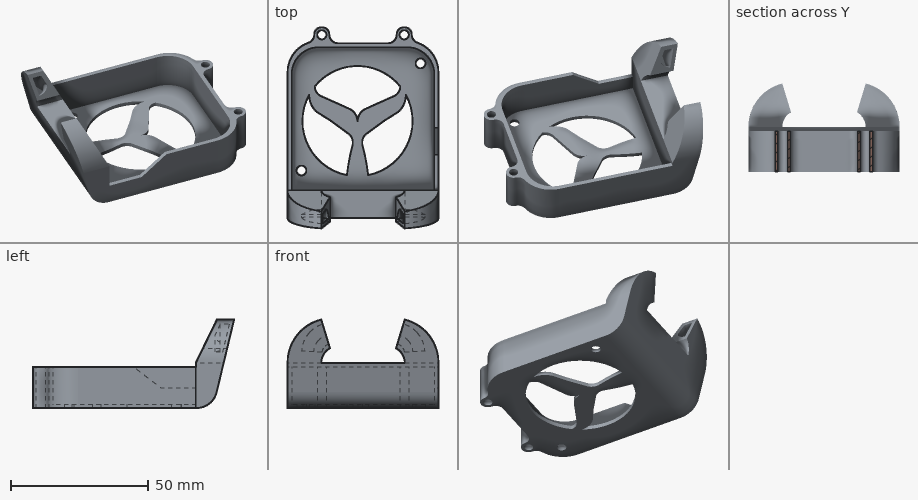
import cadquery as cq
import math

width = 55.0
half_width = width / 2

wall = 1.5
tray_length = 53.5
tray_height = 15.0
floor_thickness = 1.5
inner_corner_radius = 10.0
outer_corner_radius = inner_corner_radius + wall

ear_x = 15.0
ear_radius = 2.8
ear_hole_diameter = 3.3
ear_blend_radius = 3.0
ear_y = tray_length + ear_blend_radius
ear_blend_x = ear_x + ear_radius + ear_blend_radius

corner_x = half_width - outer_corner_radius
corner_y = ear_y - math.sqrt((outer_corner_radius + ear_blend_radius) ** 2 - (ear_blend_x - corner_x) ** 2)
blend_touch_angle = math.atan2(corner_y - ear_y, corner_x - ear_blend_x)

wall_cut_floor_z = 7.5
wall_cut_slope_start_y = 12.8
wall_cut_slope_end_y = 22.6

fan_x = -2.0
fan_y = 25.1
fan_radius = 20.0
screw_hole_diameter = 3.5
screw_hole_points = [(20.95, 46.1), (-22.4, 7.1)]

clip_height = 32.28
shelf_z = 16.5
shelf_depth = 10.2
tip_depth = 13.99
tip_back_depth = 7.7
bottom_round_radius = 7.6
prong_outer_radius = 16.26
prong_tip_x = 15.16
prong_nose_x = 12.0
prong_nose_z = 21.8
mouth_arc_radius = 6.15

hollow_sweep = 70.0
hollow_axis_distance = 12.5
hollow_front_inset = 1.45
hollow_top = 1.65
hollow_bottom = 9.2
hollow_top_back_y = -8.8
hollow_bottom_y = -10.3
hollow_back_corner = (-6.9, 6.0)
hollow_arc_middle = (-8.4, 8.4)


def mirrored(point):
    """The same point on the other side of X = 0."""
    return (-point[0], point[1])


def on_fan_rim(x, side):
    """Point of the fan circle at the given x, on its upper (+1) or lower (-1) half."""
    return (x, side * math.sqrt(fan_radius ** 2 - x ** 2))


def ear_blend_point(angle):
    """Point of the +X ear's outside blend at the given angle in radians."""
    return (
        ear_blend_x + ear_blend_radius * math.cos(angle),
        ear_y + ear_blend_radius * math.sin(angle),
    )


def make_tray_block():
    """Outer block of the tray; each corner round runs up to the blend of its ear."""
    touch_point = ear_blend_point(blend_touch_angle)
    diagonal = outer_corner_radius * math.sqrt(0.5)
    middle = (corner_x + diagonal, corner_y + diagonal)
    return (
        cq.Workplane("XY")
        .moveTo(-half_width, 0)
        .lineTo(half_width, 0)
        .lineTo(half_width, corner_y)
        .threePointArc(middle, touch_point)
        .lineTo(ear_x, tray_length)
        .lineTo(-ear_x, tray_length)
        .lineTo(*mirrored(touch_point))
        .threePointArc(mirrored(middle), (-half_width, corner_y))
        .close()
        .extrude(tray_height)
    )


def make_tray_cavity():
    """Space inside the tray, open at the top and towards the clip."""
    cavity_width = width - 2 * wall
    cavity_length = tray_length - wall
    cavity_height = tray_height - floor_thickness
    return (
        cq.Workplane("XY", origin=(0, 0, floor_thickness))
        .box(cavity_width, cavity_length, cavity_height, centered=(True, False, False))
        .edges("|Z and >Y")
        .fillet(inner_corner_radius)
    )


def make_ear():
    """Round ear at +X, blended into the back wall on one side and the corner round on the other."""
    left = ear_x - ear_radius
    right = ear_x + ear_radius
    diagonal = math.sqrt(0.5)

    blend_middle = ear_blend_point((blend_touch_angle - math.pi) / 2)
    touch_point = ear_blend_point(blend_touch_angle)

    wall_middle_y = tray_length - wall / 2
    inner_middle = (
        left - ear_blend_radius * (1 - diagonal),
        ear_y - ear_blend_radius * diagonal,
    )
    return (
        cq.Workplane("XY")
        .moveTo(left - ear_blend_radius, wall_middle_y)
        .lineTo(left - ear_blend_radius, tray_length)
        .threePointArc(inner_middle, (left, ear_y))
        .threePointArc((ear_x, ear_y + ear_radius), (right, ear_y))
        .threePointArc(blend_middle, touch_point)
        .lineTo(ear_x, wall_middle_y)
        .close()
        .extrude(tray_height)
    )


def make_upper_fan_opening():
    """Opening above the two raised blades."""
    rim = on_fan_rim(15.5, 1)
    bend = (15.05, 10.75)
    blade_outer = (13.2, 9.1)
    blade_inner = (3.13, 4.58)
    hub_bend = (0.8, 2.6)
    return (
        cq.Workplane("XY")
        .moveTo(0, 0)
        .threePointArc(hub_bend, blade_inner)
        .lineTo(*blade_outer)
        .threePointArc(bend, rim)
        .threePointArc((0, fan_radius), mirrored(rim))
        .threePointArc(mirrored(bend), mirrored(blade_outer))
        .lineTo(*mirrored(blade_inner))
        .threePointArc(mirrored(hub_bend), (0, 0))
        .close()
        .extrude(floor_thickness)
    )


def make_side_fan_opening():
    """Opening between the raised blade at +X and the lower blade."""
    rim_top = on_fan_rim(17.6, 1)
    rim_bottom = on_fan_rim(3.9, -1)
    rim_middle = on_fan_rim(0.9 * fan_radius, -1)
    blade_outer = (14.63, 3.17)
    blade_middle = (9.8, 0.14)
    blade_inner = (2.93, -4.9)
    hub_end = (1.95, -9.2)
    return (
        cq.Workplane("XY")
        .moveTo(*rim_top)
        .threePointArc((17.0, 6.3), blade_outer)
        .lineTo(*blade_middle)
        .lineTo(*blade_inner)
        .threePointArc((1.85, -6.9), hub_end)
        .threePointArc((3.1, -14.3), rim_bottom)
        .threePointArc(rim_middle, rim_top)
        .close()
        .extrude(floor_thickness)
    )


def make_wall_cut():
    """Cut through the +X wall: flat next to the clip, then a slope up to the rim."""
    return (
        cq.Workplane("YZ", origin=(half_width - wall, 0, 0))
        .polyline([
            (0, wall_cut_floor_z),
            (wall_cut_slope_start_y, wall_cut_floor_z),
            (wall_cut_slope_end_y, tray_height),
            (0, tray_height),
        ])
        .close()
        .extrude(wall)
    )


def make_tray():
    tray = make_tray_block()
    ear = make_ear()
    tray = tray.union(ear).union(ear.mirror("YZ"))
    tray = tray.cut(make_tray_cavity())

    ear_holes = (
        cq.Workplane("XY")
        .pushPoints([(-ear_x, ear_y), (ear_x, ear_y)])
        .circle(ear_hole_diameter / 2)
        .extrude(tray_height)
    )
    screw_holes = (
        cq.Workplane("XY")
        .pushPoints(screw_hole_points)
        .circle(screw_hole_diameter / 2)
        .extrude(floor_thickness)
    )
    tray = tray.cut(ear_holes).cut(screw_holes).cut(make_wall_cut())

    side_opening = make_side_fan_opening()
    for opening in (make_upper_fan_opening(), side_opening, side_opening.mirror("YZ")):
        tray = tray.cut(opening.translate((fan_x, fan_y, 0)))
    return tray


def make_clip_side_profile():
    """Leaning side shape of the clip, over the full width, with a rounded lower front edge."""
    lean = (tip_depth - shelf_depth) / (clip_height - shelf_z)
    foot_depth = shelf_depth - lean * shelf_z
    return (
        cq.Workplane("YZ", origin=(-half_width, 0, 0))
        .polyline([
            (0, 0),
            (0, shelf_z),
            (-tip_back_depth, clip_height),
            (-tip_depth, clip_height),
            (-foot_depth, 0),
        ])
        .close()
        .extrude(width)
        .faces("<Z")
        .edges("<Y")
        .fillet(bottom_round_radius)
    )


def make_clip_front_profile():
    """Front shape of the clip: two hooked prongs above a flat shelf."""
    arc_x = half_width - prong_outer_radius
    middle_angle = math.radians(40)
    outer_middle = (
        arc_x + prong_outer_radius * math.cos(middle_angle),
        shelf_z + prong_outer_radius * math.sin(middle_angle),
    )
    tip = (prong_tip_x, clip_height)
    nose = (prong_nose_x, prong_nose_z)
    mouth_corner = (prong_tip_x, shelf_z)
    return (
        cq.Workplane("XZ")
        .moveTo(-half_width, 0)
        .lineTo(half_width, 0)
        .lineTo(half_width, shelf_z)
        .threePointArc(outer_middle, tip)
        .lineTo(*nose)
        .radiusArc(mouth_corner, mouth_arc_radius)
        .lineTo(*mirrored(mouth_corner))
        .radiusArc(mirrored(nose), mouth_arc_radius)
        .lineTo(*mirrored(tip))
        .threePointArc(mirrored(outer_middle), (-half_width, shelf_z))
        .close()
        .extrude(tip_depth)
    )


def make_prong_hollow(side_profile):
    """Blind hollow in the -X prong: it starts at the end face, curves down inside the prong,
    and keeps a front wall of even thickness behind the clip's leaning front."""
    face_run = prong_tip_x - prong_nose_x
    face_drop = clip_height - prong_nose_z
    end_face = cq.Plane(
        origin=(-prong_tip_x, 0, clip_height), xDir=(0, 1, 0), normal=(face_drop, 0, face_run)
    )
    back_y, back_distance = hollow_back_corner
    arc_y, arc_distance = hollow_arc_middle
    swept = (
        cq.Workplane(end_face)
        .moveTo(-tip_depth, -hollow_top)
        .lineTo(hollow_top_back_y, -hollow_top)
        .lineTo(back_y, -back_distance)
        .threePointArc((arc_y, -arc_distance), (hollow_bottom_y, -hollow_bottom))
        .lineTo(-tip_depth, -hollow_bottom)
        .close()
        .revolve(hollow_sweep, (0, -hollow_axis_distance), (-1, -hollow_axis_distance))
    )
    return swept.intersect(side_profile.translate((0, hollow_front_inset, 0)))


def make_clip():
    side_profile = make_clip_side_profile()
    hollow = make_prong_hollow(side_profile)
    clip = side_profile.intersect(make_clip_front_profile())
    return clip.cut(hollow).cut(hollow.mirror("YZ"))


tray = make_tray()
clip = make_clip()
result = cq.Compound.makeCompound([tray.val(), clip.val()])